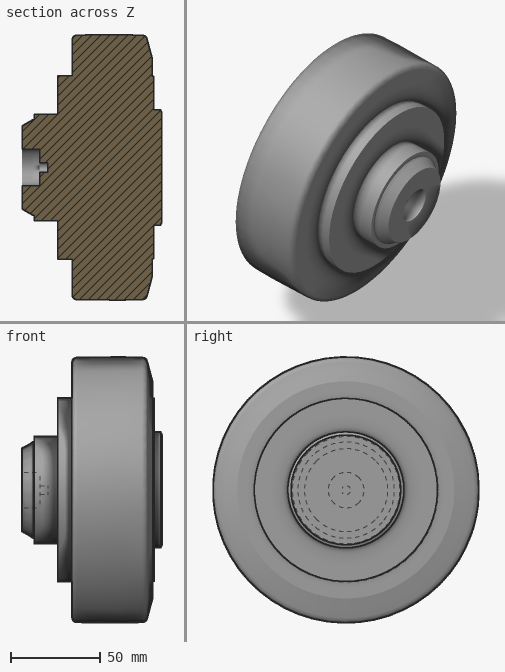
import cadquery as cq
import math

nose_taper_end = 6.4
collar_start = 6.9
flange_start = 20.0
tyre_start = 28.0
tyre_end = 73.2
disc_end = 74.0
boss_end = 78.5

nose_diameter = 54.0
nose_taper_angle = 30
nose_tip_radius = nose_diameter / 2 - nose_taper_end * math.tan(math.radians(nose_taper_angle))

collar_diameter = 60.0
flange_diameter = 103.0
disc_diameter = 102.5
boss_diameter = 65.0
boss_chamfer_length = 0.9
boss_chamfer_depth = 1.8

tyre_radius = 74.5
crown_height = 0.5
shoulder_fillet = 3
bevel_inner_radius = 60.8
bevel_angle = 15
shoulder_radius = tyre_radius - crown_height
bevel_length = (shoulder_radius - bevel_inner_radius) * math.tan(math.radians(bevel_angle))
bevel_start = tyre_end - bevel_length
crown_middle = (tyre_start + bevel_start) / 2

axle_hole_diameter = 20.0
axle_hole_depth = 10.0
pilot_hole_diameter = 4.9
pilot_hole_depth = 4.5


def cylinder(start, end, diameter):
    """Cylinder on the X axis between two stations."""
    return cq.Workplane("YZ", origin=(start, 0, 0)).circle(diameter / 2).extrude(end - start)


def turned(profile):
    """Revolve a half profile, drawn in XY, about the X axis."""
    return profile.close().revolve(360, (0, 0, 0), (1, 0, 0))


def make_nose():
    return turned(
        cq.Workplane("XY")
        .moveTo(0, 0)
        .lineTo(0, nose_tip_radius)
        .lineTo(nose_taper_end, nose_diameter / 2)
        .lineTo(collar_start, nose_diameter / 2)
        .lineTo(collar_start, 0)
    )


def make_tyre():
    blank = turned(
        cq.Workplane("XY")
        .moveTo(tyre_start, 0)
        .lineTo(tyre_start, shoulder_radius)
        .threePointArc((crown_middle, tyre_radius), (bevel_start, shoulder_radius))
        .lineTo(tyre_end, bevel_inner_radius)
        .lineTo(tyre_end, 0)
    )
    shoulders = cq.selectors.RadiusNthSelector(-2)
    return blank.edges("%CIRCLE").edges(shoulders).fillet(shoulder_fillet)


def make_boss():
    return turned(
        cq.Workplane("XY")
        .moveTo(disc_end, 0)
        .lineTo(disc_end, boss_diameter / 2)
        .lineTo(boss_end - boss_chamfer_length, boss_diameter / 2)
        .lineTo(boss_end, boss_diameter / 2 - boss_chamfer_depth)
        .lineTo(boss_end, 0)
    )


wheel = (
    make_nose()
    .union(cylinder(collar_start, flange_start, collar_diameter))
    .union(cylinder(flange_start, tyre_start, flange_diameter))
    .union(make_tyre())
    .union(cylinder(tyre_end, disc_end, disc_diameter))
    .union(make_boss())
)

axle_hole = cylinder(0, axle_hole_depth, axle_hole_diameter)
pilot_hole = cylinder(axle_hole_depth, axle_hole_depth + pilot_hole_depth, pilot_hole_diameter)

result = wheel.cut(axle_hole).cut(pilot_hole)